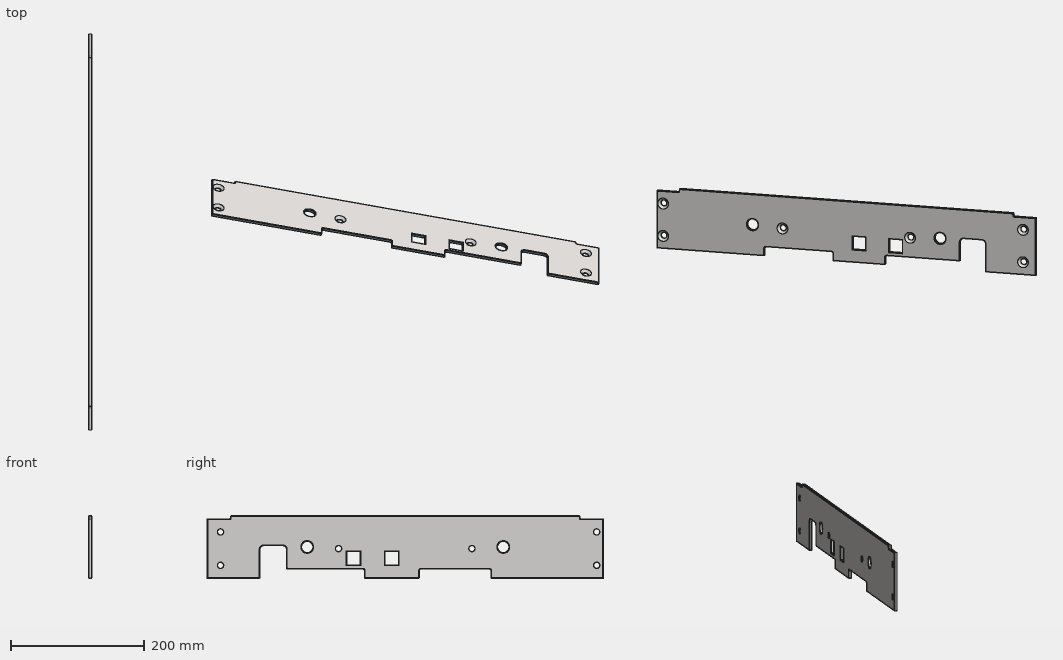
import cadquery as cq

THICKNESS = 5.0
LENGTH = 594.0
HEIGHT = 94.0
EDGE_CHAMFER = 1.0

SHOULDER_LENGTH = 35.0
SHOULDER_DROP = 5.0
SHOULDER_RADIUS = 2.0

NOTCH_DEPTH = 14.0
NOTCH_RADIUS = 3.0
FIRST_NOTCH_START = 168.5
FIRST_NOTCH_END = 276.0
SECOND_NOTCH_START = 358.0
SLOT_START = 475.0
SLOT_END = 515.0
SLOT_DEPTH = 49.0
SLOT_RADIUS = 6.0

CORNER_RADIUS = 1.5

SCREW_DIAMETER = 9.0
COUNTERSINK_DIAMETER = 16.8
COUNTERSINK_ANGLE = 90.0
END_SCREW_DISTANCES = (10.0, LENGTH - 20.0)
END_SCREW_HEIGHTS = (19.5, 69.5)
INNER_SCREW_INSET = 197.0
INNER_SCREW_HEIGHT = 44.5

ROUND_HOLE_DIAMETER = 17.0
ROUND_HOLE_INSET = 150.0
ROUND_HOLE_HEIGHT = 47.0

WINDOW_SIZE = 20.0
WINDOW_HEIGHT = 30.0
WINDOW_DISTANCES = (317.0, 374.5)

FACE = cq.Plane(
    origin=(-THICKNESS / 2, LENGTH / 2, -HEIGHT / 2),
    xDir=(0, -1, 0),
    normal=(-1, 0, 0),
)


def both_ends(inset, height):
    """Centres of two holes equally far from the two ends."""
    return [(inset, height), (LENGTH - inset, height)]


def on_face(plate):
    """Workplane on the -X face of the plate, in distance and height coordinates."""
    return cq.Workplane(FACE).newObject(plate.vals())


def make_blank():
    """Plate outline with shoulders, notches and slot, still with sharp corners."""
    shoulder_height = HEIGHT - SHOULDER_DROP
    outline = [
        (0, 0),
        (FIRST_NOTCH_START, 0),
        (FIRST_NOTCH_START, NOTCH_DEPTH),
        (FIRST_NOTCH_END, NOTCH_DEPTH),
        (FIRST_NOTCH_END, 0),
        (SECOND_NOTCH_START, 0),
        (SECOND_NOTCH_START, NOTCH_DEPTH),
        (SLOT_START, NOTCH_DEPTH),
        (SLOT_START, SLOT_DEPTH),
        (SLOT_END, SLOT_DEPTH),
        (SLOT_END, 0),
        (LENGTH, 0),
        (LENGTH, shoulder_height),
        (LENGTH - SHOULDER_LENGTH, shoulder_height),
        (LENGTH - SHOULDER_LENGTH, HEIGHT),
        (SHOULDER_LENGTH, HEIGHT),
        (SHOULDER_LENGTH, shoulder_height),
        (0, shoulder_height),
    ]
    return cq.Workplane(FACE).polyline(outline).close().extrude(-THICKNESS)


def round_corners(plate, corners, radius):
    """Fillet the through-thickness edges that stand at the given corners."""
    for corner in corners:
        middle = FACE.toWorldCoords((*corner, -THICKNESS / 2)).toTuple()
        plate = plate.edges(cq.selectors.NearestToPointSelector(middle)).fillet(radius)
    return plate


def round_outline(plate):
    """Round the corners of the shoulders, notches and slot."""
    shoulder_corners = both_ends(SHOULDER_LENGTH, HEIGHT - SHOULDER_DROP)
    notch_corners = [
        (FIRST_NOTCH_START, NOTCH_DEPTH),
        (FIRST_NOTCH_END, NOTCH_DEPTH),
        (SECOND_NOTCH_START, NOTCH_DEPTH),
    ]
    slot_corners = [(SLOT_START, SLOT_DEPTH), (SLOT_END, SLOT_DEPTH)]
    projecting_corners = [
        (FIRST_NOTCH_START, 0),
        (FIRST_NOTCH_END, 0),
        (SECOND_NOTCH_START, 0),
        (SLOT_START, NOTCH_DEPTH),
        (SLOT_END, 0),
    ]
    plate = round_corners(plate, projecting_corners, CORNER_RADIUS)
    shoulder_tops = both_ends(SHOULDER_LENGTH, HEIGHT)
    plate = round_corners(plate, shoulder_tops + shoulder_corners, SHOULDER_RADIUS)
    plate = round_corners(plate, notch_corners, NOTCH_RADIUS)
    return round_corners(plate, slot_corners, SLOT_RADIUS)


def cut_screw_holes(plate):
    """Countersunk holes: two at each end and a symmetric inner pair."""
    centres = [(distance, height) for distance in END_SCREW_DISTANCES for height in END_SCREW_HEIGHTS]
    centres += both_ends(INNER_SCREW_INSET, INNER_SCREW_HEIGHT)
    return on_face(plate).pushPoints(centres).cskHole(SCREW_DIAMETER, COUNTERSINK_DIAMETER, COUNTERSINK_ANGLE)


def cut_round_holes(plate):
    """Symmetric pair of plain through holes."""
    return on_face(plate).pushPoints(both_ends(ROUND_HOLE_INSET, ROUND_HOLE_HEIGHT)).hole(ROUND_HOLE_DIAMETER)


def cut_windows(plate):
    """Square openings through the plate."""
    centres = [(distance, WINDOW_HEIGHT) for distance in WINDOW_DISTANCES]
    windows = cq.Workplane(FACE).pushPoints(centres).rect(WINDOW_SIZE, WINDOW_SIZE).extrude(-THICKNESS)
    return plate.cut(windows)


def break_edges(plate):
    """Chamfer every edge of both faces: the outline, the round holes and the windows."""
    return plate.faces("<X or >X").edges().chamfer(EDGE_CHAMFER)


plate = round_outline(make_blank())
plate = cut_round_holes(plate)
plate = cut_windows(plate)
plate = break_edges(plate)
result = cut_screw_holes(plate)